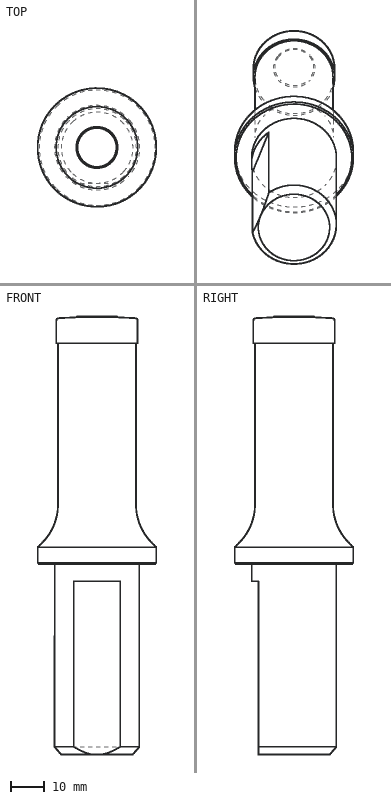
import cadquery as cq
import math

FLANGE_BOTTOM = 56.0
FLANGE_TOP = 61.0
HEAD_BOTTOM = 121.0
TOTAL_HEIGHT = 129.0

SHANK_RADIUS = 25 / 2
SHANK_CHAMFER = 2.0
SHANK_CHAMFER_HEIGHT = 2.3
FLAT_DISTANCE = 10.5
FLAT_TOP = 51.0

FLANGE_RADIUS = 35 / 2
FLANGE_LOWER_CHAMFER = 0.5
NECK_RADIUS = 23 / 2
FLARE_RADIUS = 16.0
FLARE_ANGLE = math.radians(45)

HEAD_RADIUS = 24 / 2
HEAD_RIM_RADIUS = 0.8
FACE_RISE = 0.25
CENTRE_RADIUS = 12.2 / 2
CENTRE_EDGE_WIDTH = 0.4
CENTRE_RISE = 0.3
DIMPLE_RADIUS = 2 / 2
DIMPLE_DEPTH = 0.2


def flare_point(angle, centre_z):
    """Radius and height on the flare arc, at an angle below its start on the neck."""
    return (
        NECK_RADIUS + FLARE_RADIUS * (1 - math.cos(angle)),
        centre_z - FLARE_RADIUS * math.sin(angle),
    )


def make_flat_cutter():
    """Block that cuts the clamping flat."""
    depth = SHANK_RADIUS - FLAT_DISTANCE
    return (
        cq.Workplane("XY")
        .center(0, -FLAT_DISTANCE - depth / 2)
        .box(2 * SHANK_RADIUS, depth, FLAT_TOP, centered=(True, True, False))
    )


def make_shank():
    """Shank, flange and flared neck, turned about Z."""
    flare_end_radius = flare_point(FLARE_ANGLE, 0)[0]
    flare_end_z = FLANGE_TOP + (FLANGE_RADIUS - flare_end_radius) / math.tan(FLARE_ANGLE)
    centre_z = flare_end_z + FLARE_RADIUS * math.sin(FLARE_ANGLE)
    profile = (
        cq.Workplane("XZ")
        .moveTo(0, 0)
        .lineTo(SHANK_RADIUS - SHANK_CHAMFER, 0)
        .lineTo(SHANK_RADIUS, SHANK_CHAMFER_HEIGHT)
        .lineTo(SHANK_RADIUS, FLANGE_BOTTOM)
        .lineTo(FLANGE_RADIUS - FLANGE_LOWER_CHAMFER, FLANGE_BOTTOM)
        .lineTo(FLANGE_RADIUS, FLANGE_BOTTOM + FLANGE_LOWER_CHAMFER)
        .lineTo(FLANGE_RADIUS, FLANGE_TOP)
        .lineTo(flare_end_radius, flare_end_z)
        .threePointArc(flare_point(FLARE_ANGLE / 2, centre_z), (NECK_RADIUS, centre_z))
        .lineTo(NECK_RADIUS, HEAD_BOTTOM)
        .lineTo(0, HEAD_BOTTOM)
        .close()
    )
    body = profile.revolve(360, (0, 0, 0), (0, 1, 0))
    return body.cut(make_flat_cutter())


def make_head():
    """Cutting head, seated on the end of the neck."""
    centre_base_z = TOTAL_HEIGHT - CENTRE_RISE
    rim_z = centre_base_z - FACE_RISE
    profile = (
        cq.Workplane("XZ")
        .moveTo(0, HEAD_BOTTOM)
        .lineTo(HEAD_RADIUS, HEAD_BOTTOM)
        .lineTo(HEAD_RADIUS, rim_z - HEAD_RIM_RADIUS)
        .radiusArc((HEAD_RADIUS - HEAD_RIM_RADIUS, rim_z), -HEAD_RIM_RADIUS)
        .lineTo(CENTRE_RADIUS, centre_base_z)
        .lineTo(CENTRE_RADIUS - CENTRE_EDGE_WIDTH, TOTAL_HEIGHT)
        .lineTo(DIMPLE_RADIUS, TOTAL_HEIGHT)
        .lineTo(0, TOTAL_HEIGHT - DIMPLE_DEPTH)
        .close()
    )
    return profile.revolve(360, (0, 0, 0), (0, 1, 0))


shank = make_shank()
head = make_head()
result = cq.Compound.makeCompound([shank.val(), head.val()])